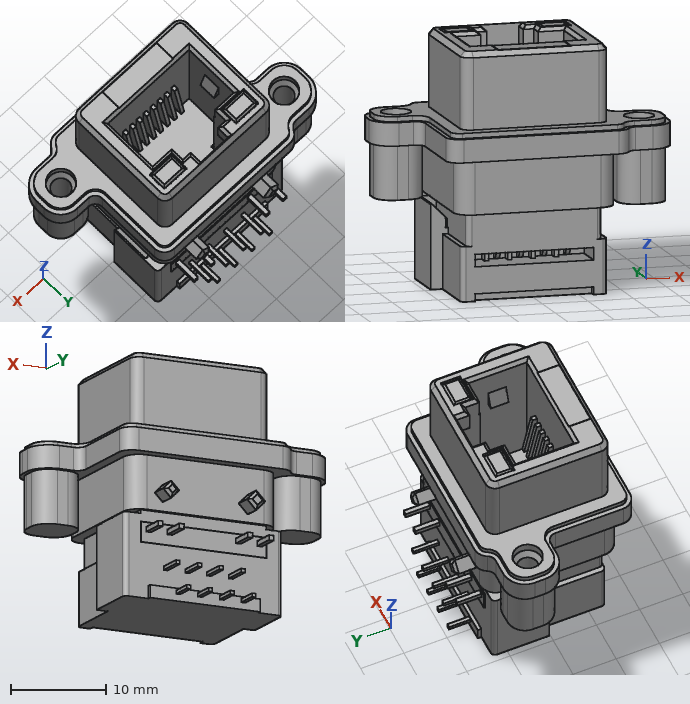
import cadquery as cq
import math


step_z = 5.95
wing_top = 9.18
block_bottom = 9.57
flange_bottom = 15.5
flange_top = 18.03
lip_top = 18.57
shell_top = 26.95

flange_x, flange_y = 20.0, 18.0
flange_radius = 1.5
overall_x = 30.3
ear_size = 6.25
ear_radius = 2.5
ear_blend_radius = 1.0
ear_centre = (-(overall_x - ear_size) / 2, 4.48)
lip_inset = 0.5
post_inset = 0.48

hole_diameter = 2.27
counterbore_diameter = 3.2
counterbore_depth = 0.97
cone_depth = 0.65
hole_floor_z = 10.6

block_x, block_y, block_radius = 17.45, 15.45, 1.85
shell_x, shell_y, shell_radius = 16.0, 14.05, 1.12
shell_bevel_height, shell_bevel_width = 0.6, 0.5

cavity_floor_z = 12.12
mouth_depth = 2.5
mouth_bevel = 0.4
mouth_half_x = 5.97
mouth_front_y, mouth_rear_y = -3.65, 3.12
throat_half_x, throat_y = 3.15, 4.8
latch_half_x, latch_y = 2.0, 6.42
jack_rear_y = 3.0
latch_floor_z = 12.73
corner_pocket_x, corner_pocket_y = (3.88, 5.97), (1.88, 2.9)
corner_pocket_depth = 0.9

spring_y = (-1.25, 0.82)
spring_reach = 0.67
spring_top, spring_bottom = 23.63, 21.82

contact_count = 8
contact_span = 7.12
contact_pitch = contact_span / (contact_count - 1)
contact_width = 0.45
contact_top, contact_bottom = 20.0, 15.15
contact_shelf_y, contact_tip_y = -3.12, -2.12

led_x, led_y = 5.27, 4.75
led_size_x, led_size_y = 3.27, 2.2
led_depth = 0.33
label_half_x, label_front_y, label_depth = 3.97, -6.48, 0.05

body_front_y, body_rear_y = -6.42, 7.3
lower_half_x, upper_half_x = 8.0, 7.4
body_radius = 0.5
wing_half_x, wing_front_y = 9.3, 0.73
wing_rim = 0.18
wing_shoulder_y = 5.27
wing_slot_width, wing_slot_depth = 0.27, 0.3
wing_slot_z = (6.58, 7.58)

window_half_x = 6.48
window_z = (3.73, 5.05)
window_depth = 3.65
notch_height, notch_depth = 0.82, 0.6
lead_bend_radius = 1.0

pin_tip_y = 10.25
pin_root_y = 6.05
signal_span = 8.95
signal_pitch = signal_span / (contact_count - 1)
signal_width, signal_height = 0.45, 0.4
signal_rows_z = (0.97, 3.5)
shield_pin_size = 0.55
shield_pin_z = 7.48
shield_pin_x = (4.03, 6.5)
peg_x, peg_z = 5.0, 11.5
peg_diagonals = {-1: 2.15, 1: 1.88}
peg_tip_y, peg_bevel = 10.03, 0.33
foot_y, foot_height = 7.73, 1.4
pad_y, pad_z = 7.42, (6.05, 8.27)


def span_box(x_span, y_span, z_span):
    """Box between two limits along each axis."""
    size = [high - low for low, high in (x_span, y_span, z_span)]
    corner = (x_span[0], y_span[0], z_span[0])
    return cq.Workplane("XY").box(*size, centered=False).translate(corner)


def round_block(size_x, size_y, radius, z_bottom, z_top, centre=(0, 0)):
    """Upright block with four rounded corners."""
    block = cq.Workplane("XY").workplane(offset=z_bottom).center(*centre)
    return block.rect(size_x, size_y).extrude(z_top - z_bottom).edges("|Z").fillet(radius)


def both_ears(shape):
    """The shape at the left ear joined with its copy half a turn away."""
    return shape.union(shape.rotate((0, 0, 0), (0, 0, 1), 180))


def both_sides(shape):
    """The shape joined with its mirror image across the YZ plane."""
    return shape.union(shape.mirror("YZ"))


def make_flange():
    plate = round_block(flange_x, flange_y, flange_radius, flange_bottom, flange_top)
    ear = round_block(ear_size, ear_size, ear_radius, flange_bottom, flange_top, ear_centre)
    neck_x = (ear_centre[0], 0)
    neck_y = (ear_centre[1] - ear_size / 2, ear_centre[1] + ear_size / 2)
    neck = span_box(neck_x, neck_y, (flange_bottom, flange_top))
    plate = plate.union(both_ears(ear.union(neck)))

    corner_y = flange_y / 2 - flange_radius
    corner_run = math.sqrt(flange_radius ** 2 - (neck_y[1] - corner_y) ** 2)
    rear_joint = (-(flange_x / 2 - flange_radius) - corner_run, neck_y[1])
    front_joint = (-flange_x / 2, neck_y[0])
    mid_z = (flange_bottom + flange_top) / 2
    for x, y in (rear_joint, front_joint):
        for turn in (1, -1):
            joint = cq.selectors.NearestToPointSelector((turn * x, turn * y, mid_z))
            plate = plate.edges("|Z").edges(joint).fillet(ear_blend_radius)

    lip = plate.faces(">Z").wires().toPending().workplane().offset2D(-lip_inset)
    return lip.extrude(lip_top - flange_top)


def make_posts():
    size = ear_size - 2 * post_inset
    radius = ear_radius - post_inset
    return both_ears(round_block(size, size, radius, block_bottom, flange_bottom, ear_centre))


def make_mounting_holes():
    bore_radius, hole_radius = counterbore_diameter / 2, hole_diameter / 2
    cone_top = lip_top - counterbore_depth
    profile = [
        (0, hole_floor_z),
        (hole_radius, hole_floor_z),
        (hole_radius, cone_top - cone_depth),
        (bore_radius, cone_top),
        (bore_radius, lip_top),
        (0, lip_top),
    ]
    hole = cq.Workplane("XZ").polyline(profile).close().revolve(360, (0, 0), (0, 1))
    return both_ears(hole.translate((ear_centre[0], ear_centre[1], 0)))


def make_shell():
    bevel_z = shell_top - shell_bevel_height
    walls = round_block(shell_x, shell_y, shell_radius, flange_top, bevel_z)
    taper = math.degrees(math.atan2(shell_bevel_width, shell_bevel_height))
    rim = walls.faces(">Z").wires().toPending().workplane()
    return rim.extrude(shell_bevel_height, taper=taper)


def mouth_outline(grow):
    """Corners of the stepped jack opening, moved outwards by grow except at the latch end."""
    right = [
        (mouth_half_x + grow, mouth_front_y - grow),
        (mouth_half_x + grow, mouth_rear_y + grow),
        (throat_half_x + grow, mouth_rear_y + grow),
        (throat_half_x + grow, throat_y + grow),
        (latch_half_x + grow, throat_y + grow),
        (latch_half_x + grow, latch_y),
    ]
    left = [(-x, y) for x, y in reversed(right)]
    return right + left


def make_mouth():
    floor_z = shell_top - mouth_depth
    opening = cq.Workplane("XY").workplane(offset=floor_z)
    opening = opening.polyline(mouth_outline(0)).close().extrude(mouth_depth)
    bevel = cq.Workplane("XY").workplane(offset=shell_top - mouth_bevel)
    bevel = bevel.polyline(mouth_outline(0)).close().workplane(offset=mouth_bevel)
    bevel = bevel.polyline(mouth_outline(mouth_bevel)).close().loft(ruled=True)

    depth_span = (cavity_floor_z, floor_z)
    jack = span_box((-mouth_half_x, mouth_half_x), (mouth_front_y, jack_rear_y), depth_span)
    latch = span_box(
        (-throat_half_x, throat_half_x), (jack_rear_y, latch_y), (latch_floor_z, floor_z))
    pocket_z = (cavity_floor_z - corner_pocket_depth, cavity_floor_z)
    pockets = both_sides(span_box(corner_pocket_x, corner_pocket_y, pocket_z))
    return opening.union(bevel).union(jack).union(latch).union(pockets)


def make_springs():
    profile = [
        (mouth_half_x, spring_top),
        (mouth_half_x - spring_reach, spring_bottom),
        (mouth_half_x, spring_bottom),
    ]
    spring = cq.Workplane("XZ", origin=(0, spring_y[1], 0)).polyline(profile).close()
    return both_sides(spring.extrude(spring_y[1] - spring_y[0]))


def make_contacts():
    profile = [
        (mouth_front_y, contact_bottom),
        (mouth_front_y, contact_top),
        (contact_shelf_y, contact_top),
        (contact_tip_y, contact_bottom),
    ]
    contact = cq.Workplane("YZ").polyline(profile).close().extrude(contact_width / 2, both=True)
    contacts = cq.Workplane("XY")
    for index in range(contact_count):
        x = (index - (contact_count - 1) / 2) * contact_pitch
        contacts = contacts.union(contact.translate((x, 0, 0)))
    return contacts


def make_top_recesses():
    """Grooves that leave a bevelled lens in each indicator window, and the label recess."""
    base = cq.Workplane("XY", origin=(led_x, led_y, shell_top - led_depth))
    lens = base.rect(led_size_x, led_size_y).extrude(led_depth, taper=45)
    groove = base.rect(led_size_x, led_size_y).extrude(led_depth).cut(lens)
    label_y = (label_front_y, mouth_front_y)
    label = span_box((-label_half_x, label_half_x), label_y, (shell_top - label_depth, shell_top))
    return both_sides(groove).union(label)


def make_body_section(half_x, z_bottom, z_top):
    section = span_box((-half_x, half_x), (body_front_y, body_rear_y), (z_bottom, z_top))
    return section.edges("|Z and <Y").fillet(body_radius)


def make_wings():
    wing = span_box((0, wing_half_x), (wing_front_y, body_rear_y), (0, wing_top))
    wing = wing.edges("|Z and >X and >Y").fillet(body_radius)

    rim_x = wing_half_x - wing_rim
    drop = rim_x - upper_half_x
    slope = [(rim_x, wing_top), (upper_half_x, wing_top), (upper_half_x, wing_top - drop)]
    cut = cq.Workplane("XZ", origin=(0, wing_shoulder_y, 0)).polyline(slope).close()
    wing = wing.cut(cut.extrude(wing_shoulder_y - wing_front_y))

    slot_x = (upper_half_x, upper_half_x + wing_slot_width)
    slot = span_box(slot_x, (wing_front_y, wing_front_y + wing_slot_depth), wing_slot_z)
    return both_sides(wing.cut(slot))


def signal_x(index):
    """Place of a signal lead along X, shared by its pin."""
    return (index - (contact_count - 1) / 2) * signal_pitch


def make_window():
    """Front window with the leads standing at its back, and the notch below it."""
    back_y = body_front_y + window_depth
    x_span = (-window_half_x, window_half_x)
    window = span_box(x_span, (body_front_y, back_y), window_z)
    lead_x = (-signal_width / 2, signal_width / 2)
    lead_y = (back_y - lead_bend_radius, back_y)
    straight = span_box(lead_x, lead_y, window_z)

    bend_z = window_z[0] + lead_bend_radius
    bent = cq.Workplane("YZ", origin=(lead_x[0], back_y, bend_z))
    bent = bent.circle(lead_bend_radius).extrude(signal_width)
    bent = bent.union(span_box(lead_x, lead_y, (bend_z, window_z[1])))
    for index in range(contact_count):
        lead = straight if index % 2 == 0 else bent
        window = window.cut(lead.translate((signal_x(index), 0, 0)))
    notch = span_box(x_span, (body_front_y, body_front_y + notch_depth), (0, notch_height))
    return window.union(notch)


def make_pin(x, z, width, height):
    x_span = (x - width / 2, x + width / 2)
    z_span = (z - height / 2, z + height / 2)
    return span_box(x_span, (pin_root_y, pin_tip_y), z_span)


def make_pins():
    """Signal pins staggered over two rows, and the larger shield pins above them."""
    pins = cq.Workplane("XY")
    for index in range(contact_count):
        row_z = signal_rows_z[index % 2]
        pins = pins.union(make_pin(signal_x(index), row_z, signal_width, signal_height))
    for x in shield_pin_x:
        pins = pins.union(both_sides(make_pin(x, shield_pin_z, shield_pin_size, shield_pin_size)))
    return pins


def make_pegs():
    """Square locating pegs standing on edge, with bevelled tips."""
    pegs = cq.Workplane("XY")
    for side, diagonal in peg_diagonals.items():
        length = peg_tip_y - pin_root_y
        width = diagonal / math.sqrt(2)
        peg = cq.Workplane("XZ").rect(width, width).extrude(-length)
        peg = peg.faces(">Y").chamfer(peg_bevel)
        peg = peg.rotate((0, 0, 0), (0, 1, 0), 45)
        pegs = pegs.union(peg.translate((side * peg_x, pin_root_y, peg_z)))
    return pegs


def make_rear_pads():
    foot = span_box((-window_half_x, window_half_x), (pin_root_y, foot_y), (0, foot_height))
    pad = span_box((-upper_half_x, upper_half_x), (pin_root_y, pad_y), pad_z)
    return foot.union(pad)


result = (
    make_flange()
    .union(make_posts())
    .union(round_block(block_x, block_y, block_radius, block_bottom, flange_bottom))
    .union(make_shell())
    .cut(make_mounting_holes())
    .cut(make_mouth())
    .cut(make_top_recesses())
    .union(make_springs())
    .union(make_contacts())
    .union(make_body_section(lower_half_x, 0, step_z))
    .union(make_body_section(upper_half_x, step_z, block_bottom))
    .union(make_wings())
    .union(make_rear_pads())
    .union(make_pins())
    .union(make_pegs())
    .cut(make_window())
)